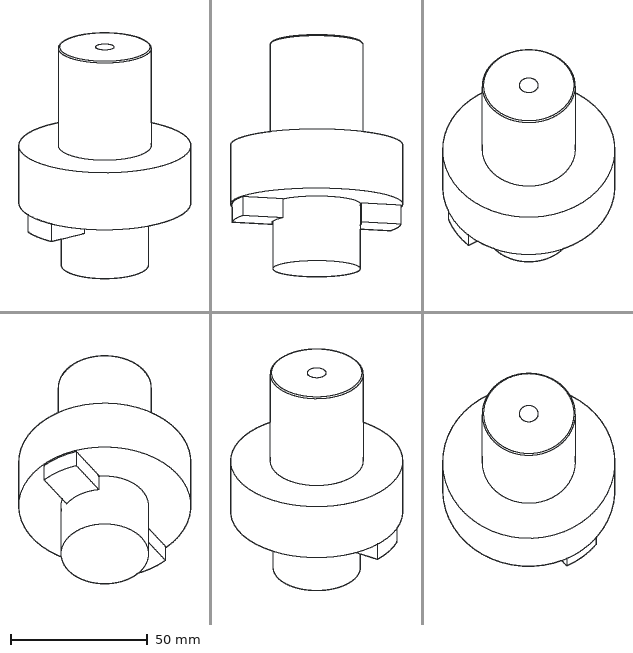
import cadquery as cq

total_height = 84.0
flange_diameter = 63.0
flange_height = 22.0
spigot_diameter = 32.0
spigot_length = 24.0
shaft_diameter = 34.0
shaft_chamfer = 0.5
hole_diameter = 6.8
hole_depth = 20.2
key_width = 14.0
key_height = 7.05
key_reach = 30.9
key_gap = 0.4

shaft_length = total_height - flange_height - spigot_length
flange_top = spigot_length + flange_height


def cylinder(diameter, bottom, height):
    """Upright cylinder on the Z axis, starting at height bottom."""
    return cq.Workplane("XY").workplane(offset=bottom).circle(diameter / 2).extrude(height)


spigot = cylinder(spigot_diameter, 0, spigot_length)
flange = cylinder(flange_diameter, spigot_length, flange_height)
shaft = cylinder(shaft_diameter, flange_top, shaft_length).faces(">Z").chamfer(shaft_chamfer)

key_bottom = spigot_length - key_height
key_bar = (
    cq.Workplane("XY")
    .workplane(offset=key_bottom)
    .rect(key_width, 2 * key_reach)
    .extrude(key_height)
)
keys = key_bar.intersect(cylinder(2 * key_reach, key_bottom, key_height))
keys = keys.cut(cylinder(spigot_diameter + 2 * key_gap, key_bottom, key_height))

hole = cylinder(hole_diameter, total_height - hole_depth, hole_depth)

result = spigot.union(flange).union(shaft).union(keys).cut(hole)